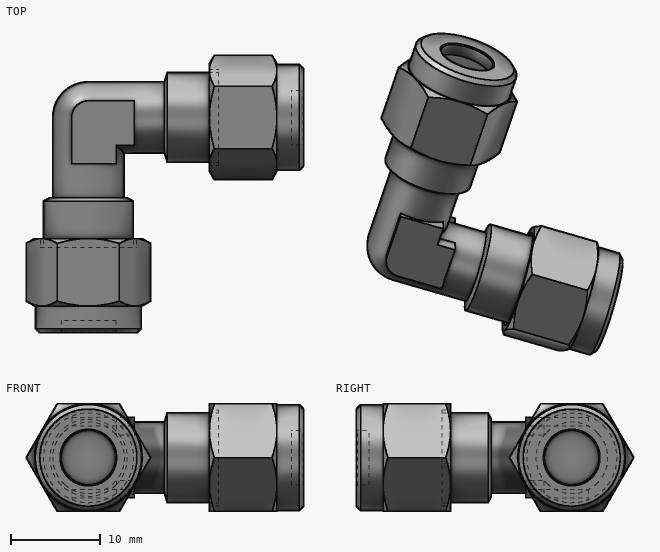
import cadquery as cq
import math

across_flats = 12.0
overall = 30.93
pipe_radius = 4.0
collar_radius = 5.0
nut_start = 13.5
nut_end = 21.0
sleeve_radius = 5.9
sleeve_chamfer = 0.5
bore_radius = 3.03
bore_depth = 1.4
bore_chamfer = 0.12
x_collar_start = 8.47
x_collar_taper = 0.3
x_collar_tip_radius = pipe_radius
y_collar_start = 8.95
y_collar_taper = 0.37
y_collar_tip_radius = 4.3
nut_clearance = 0.35
nut_recess_depth = 1.0
nut_chamfer_angle = 30.0

pad_height = 8.97
pad_outer = 1.85
pad_inner = 3.1
pad_reach = 5.13

corner_radius = across_flats / math.sqrt(3)
arm_length = overall - corner_radius


def cylinder(radius, start, end):
    """Cylinder along Z between two heights."""
    return cq.Workplane("XY").workplane(offset=start).circle(radius).extrude(end - start)


def hex_nut():
    """Hexagon along Z with its corners turned off conically at both ends."""
    flat_radius = across_flats / 2
    drop = (corner_radius - flat_radius) * math.tan(math.radians(nut_chamfer_angle))
    hexagon = (
        cq.Workplane("XY").workplane(offset=nut_start)
        .polygon(6, 2 * corner_radius).extrude(nut_end - nut_start)
    )
    envelope = (
        cq.Workplane("XZ")
        .moveTo(0, nut_start)
        .lineTo(flat_radius, nut_start)
        .lineTo(corner_radius, nut_start + drop)
        .lineTo(corner_radius, nut_end - drop)
        .lineTo(flat_radius, nut_end)
        .lineTo(0, nut_end)
        .close()
        .revolve(360, (0, 0, 0), (0, 1, 0))
    )
    return hexagon.intersect(envelope)


def tapered_collar(start, taper_length, tip_radius):
    """Collar along Z with a conical lead-in, ending at the floor of the nut recess."""
    return (
        cq.Workplane("XZ")
        .moveTo(0, start)
        .lineTo(tip_radius, start)
        .lineTo(collar_radius, start + taper_length)
        .lineTo(collar_radius, nut_start + nut_recess_depth)
        .lineTo(0, nut_start + nut_recess_depth)
        .close()
        .revolve(360, (0, 0, 0), (0, 1, 0))
    )


def sleeve():
    """Chamfered end sleeve along Z with a blind bore and a broken bore edge."""
    body = cylinder(sleeve_radius, nut_end, arm_length).faces(">Z").chamfer(sleeve_chamfer)
    bore = cylinder(bore_radius, arm_length - bore_depth, arm_length)
    bore_edge = cq.selectors.RadiusNthSelector(0)
    return body.cut(bore).faces(">Z").edges(bore_edge).chamfer(bore_chamfer)


def arm(collar_start, taper_length, tip_radius):
    """One tube connection along +Z, starting at the elbow centre."""
    pipe = cylinder(pipe_radius, 0, collar_start)
    collar = tapered_collar(collar_start, taper_length, tip_radius)
    recess = cylinder(collar_radius + nut_clearance, nut_start, nut_start + nut_recess_depth)
    nut = hex_nut().cut(recess)
    return pipe.union(collar).union(nut).union(sleeve())


def wrench_pad():
    """L-shaped block through the elbow, forming a flat above and below it."""
    return (
        cq.Workplane("XY").workplane(offset=-pad_height / 2)
        .moveTo(0, pad_outer)
        .lineTo(pad_reach, pad_outer)
        .lineTo(pad_reach, -pad_inner)
        .lineTo(pad_inner, -pad_inner)
        .lineTo(pad_inner, -pad_reach)
        .lineTo(-pad_outer, -pad_reach)
        .lineTo(-pad_outer, 0)
        .radiusArc((0, pad_outer), pad_outer)
        .close()
        .extrude(pad_height)
    )


x_arm = (
    arm(x_collar_start, x_collar_taper, x_collar_tip_radius)
    .rotate((0, 0, 0), (0, 0, 1), 90)
    .rotate((0, 0, 0), (0, 1, 0), 90)
)
y_arm = arm(y_collar_start, y_collar_taper, y_collar_tip_radius).rotate((0, 0, 0), (1, 0, 0), 90)
elbow = cq.Workplane("XY").sphere(pipe_radius)

result = elbow.union(x_arm).union(y_arm).union(wrench_pad())